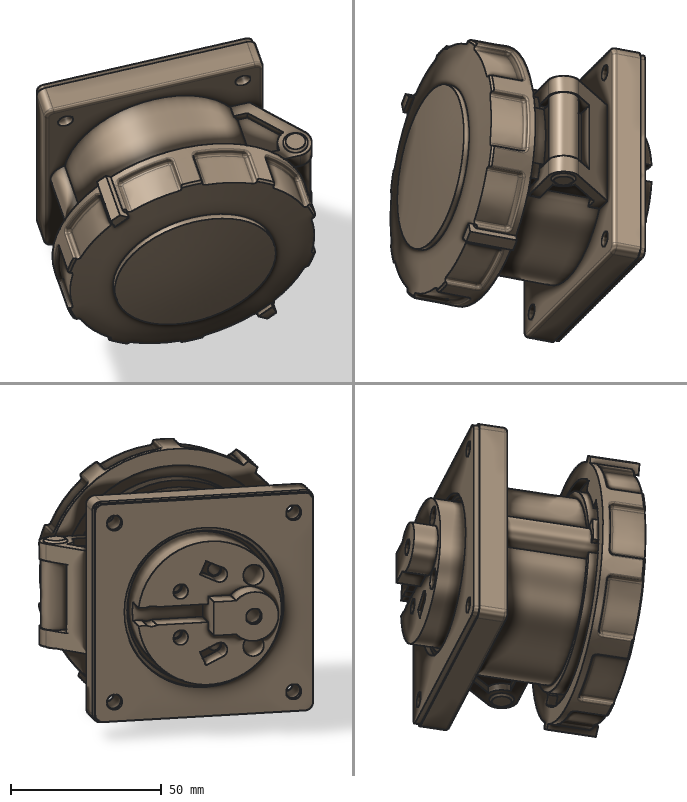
import cadquery as cq
import math


FLANGE_SIDE = 75.5
FLANGE_THICKNESS = 9.9
FLANGE_CORNER = 3.05
FLANGE_FRONT_FILLET = 1.3
SCREW_HOLE_DIA = 5.2
SCREW_PITCH = 61.2
BARREL_DIA = 62.9
COLLAR_DIA = 67.6
COLLAR_X = 28.8
BOSS_DIA = 11.7
BOSS_OUTER_Y = -35.8
STOP_OUTER_RADIUS = 37.6
STOP_BOTTOM_Z = -2.0
STOP_TOP_Z = 6.1
STOP_X = 29.2
BORE_DIA = 51.8

GASKET_THICKNESS = 1.9
GASKET_INSET = 0.65
GASKET_BORE_DIA = 54.5
REAR_X = -FLANGE_THICKNESS - GASKET_THICKNESS

RING_X = 30.9
RING_EDGE_X = 45.95
RING_BEVEL = 0.7
RING_FRONT_X = 47.8
RING_DIA = 88.0
RING_BORE_DIA = 76.7
POCKET_COUNT = 10
POCKET_ANGLE = 26.4
POCKET_DEPTH = 1.85
POCKET_X = RING_X + 2.7
POCKET_FLOOR_FILLET = 1.1
POCKET_MOUTH_FILLET = 0.65
POCKET_CORNER = 1.5
WING_ANGLE = 54.0
WING_RADIUS = 45.95
WING_TIP_WIDTH = 3.9
WING_ROOT_WIDTH = 6.1
BAYONET_RADIUS = 34.9
BAYONET_ANGLE = 35.0
BAYONET_SPAN = 24.0
COVER_REAR_X = 34.2
CAP_DIA = 55.6
CAP_EDGE_X = 49.7
DOME_X = 51.6

PIN_X = 20.25
PIN_Y = 43.0
PIN_DIA = 8.2
PIN_END_CHAMFER = 0.8
PIN_LENGTH = 36.9
LUG_RADIUS = 5.5
LUG_WIDTH = 35.2
LUG_BASE_Y = 26.3
LUG_SLOPE_Y = 32.8
RIM_WIDTH = 4.1
RIM_HEIGHT = 2.6
PIN_EYE_RADIUS = 6.0
WEB_WIDTH = LUG_WIDTH - 2 * RIM_HEIGHT
KNUCKLE_DIA = 10.0
KNUCKLE_WIDTH = 23.5
KNUCKLE_SLOT_X = 10.4
ARM_WIDTH = 20.3
ARM_INNER_RADIUS = 34.8
ARM_OUTER_RADIUS = 37.35
ARM_NECK_X = 16.2

INSERT_SHOULDER_X = -5.55
STUB_DIA = 49.0
STUB_LENGTH = 7.9
STUB_X = REAR_X - STUB_LENGTH
GRIP_LENGTH = 8.2
GRIP_DIA = 16.7
GRIP_Y = -13.1
GRIP_END_Y = 0.6
GRIP_NECK_WIDTH = 11.5
EARTH_HOLE_DIA = 5.4
EARTH_SOCKET_DIA = 5.6
EARTH_SOCKET_DEPTH = 2.3
KEYWAY_WIDTH = 6.2
KEYWAY_HOLE_DIA = 7.0
KEYWAY_HOLE_Y = 19.7
PHASE_HOLE = (9.9, 7.9)
SLOT_HOLE = (-3.5, 12.85)
SLOT_LENGTH = 6.4
SLOT_ANGLE = 25.0
CONTACT_ENTRY_DIA = 5.0
CONTACT_ENTRY_DEPTH = 8.3
CONTACT_HOLE_DIA = 4.25
PILOT_HOLE = (-15.0, 12.1)
PILOT_HOLE_DIA = 7.0


def disc(x_start, x_end, diameter, y=0, z=0):
    """Cylinder along X."""
    return cq.Workplane("YZ", origin=(x_start, y, z)).circle(diameter / 2).extrude(x_end - x_start)


def block(x_range, y_range, z_range):
    """Box between pairs of limits."""
    size = [high - low for low, high in (x_range, y_range, z_range)]
    corner = (x_range[0], y_range[0], z_range[0])
    return cq.Workplane("XY").box(*size, centered=False).translate(corner)


def hinge_cylinder(diameter, width):
    """Cylinder on the hinge axis, centred on z = 0."""
    return cq.Workplane("XY").center(PIN_X, PIN_Y).circle(diameter / 2).extrude(width / 2, both=True)


def turned(shape, angle):
    """Turn a shape about X by an angle measured from -Y towards +Z."""
    return shape.rotate((0, 0, 0), (1, 0, 0), -angle)


def centred(width):
    return (-width / 2, width / 2)


def square_plate(x_start, x_end, side, corner_radius):
    """Square plate across X with rounded corners."""
    return (
        cq.Workplane("YZ", origin=(x_start, 0, 0))
        .rect(side, side)
        .extrude(x_end - x_start)
        .edges("|X")
        .fillet(corner_radius)
    )


def screw_holes():
    return (
        cq.Workplane("YZ", origin=(REAR_X, 0, 0))
        .rect(SCREW_PITCH, SCREW_PITCH, forConstruction=True)
        .vertices()
        .circle(SCREW_HOLE_DIA / 2)
        .extrude(-REAR_X)
    )


def make_flange():
    plate = square_plate(-FLANGE_THICKNESS, 0, FLANGE_SIDE, FLANGE_CORNER)
    return plate.faces(">X").edges().fillet(FLANGE_FRONT_FILLET).cut(screw_holes())


def make_gasket():
    side = FLANGE_SIDE - 2 * GASKET_INSET
    plate = square_plate(REAR_X, -FLANGE_THICKNESS, side, FLANGE_CORNER - GASKET_INSET)
    return plate.cut(screw_holes()).cut(disc(REAR_X, -FLANGE_THICKNESS, GASKET_BORE_DIA))


def make_hinge_lugs():
    """Two hinge lugs with raised rims, and the web that carries them."""
    lug_front_x = PIN_X + LUG_RADIUS
    rise = PIN_Y - LUG_SLOPE_Y
    slope = math.atan2(rise, PIN_X) + math.asin(LUG_RADIUS / math.hypot(PIN_X, rise))
    normal = slope + math.pi / 2
    tangent_point = (PIN_X + LUG_RADIUS * math.cos(normal), PIN_Y + LUG_RADIUS * math.sin(normal))
    outline = (
        cq.Workplane("XY")
        .moveTo(0, 0)
        .lineTo(0, LUG_SLOPE_Y)
        .lineTo(*tangent_point)
        .threePointArc(
            (PIN_X + LUG_RADIUS * math.cos(normal / 2), PIN_Y + LUG_RADIUS * math.sin(normal / 2)),
            (lug_front_x, PIN_Y),
        )
        .lineTo(lug_front_x, 0)
        .close()
        .extrude(LUG_WIDTH / 2, both=True)
    )
    lugs = outline.intersect(block((0, lug_front_x), (LUG_BASE_Y, PIN_Y + LUG_RADIUS), centred(LUG_WIDTH)))

    def inner_slope_y(x):
        return LUG_SLOPE_Y + x * math.tan(slope) - RIM_WIDTH / math.cos(slope)

    eye_y = PIN_Y - PIN_EYE_RADIUS
    recess = (
        cq.Workplane("XY")
        .moveTo(RIM_WIDTH, 0)
        .lineTo(RIM_WIDTH, inner_slope_y(RIM_WIDTH))
        .lineTo(PIN_X, inner_slope_y(PIN_X))
        .lineTo(PIN_X, eye_y)
        .lineTo(lug_front_x - RIM_WIDTH, eye_y)
        .lineTo(lug_front_x - RIM_WIDTH, 0)
        .close()
        .extrude(LUG_WIDTH / 2, both=True)
        .cut(hinge_cylinder(2 * PIN_EYE_RADIUS, LUG_WIDTH))
        .cut(block((0, lug_front_x), (0, PIN_Y + LUG_RADIUS), centred(WEB_WIDTH)))
    )
    bridge = disc(lug_front_x, RING_X, 2 * ARM_OUTER_RADIUS).intersect(
        block((lug_front_x, RING_X), (0, ARM_OUTER_RADIUS), centred(WEB_WIDTH))
    )
    knuckle_slot = block(
        (KNUCKLE_SLOT_X, lug_front_x), (ARM_INNER_RADIUS, PIN_Y + LUG_RADIUS), centred(KNUCKLE_WIDTH)
    )
    arm_slot = block((lug_front_x, RING_X), (ARM_INNER_RADIUS, ARM_OUTER_RADIUS), centred(ARM_WIDTH))
    pin_hole = hinge_cylinder(PIN_DIA, LUG_WIDTH)
    return lugs.cut(recess).union(bridge).cut(knuckle_slot).cut(arm_slot).cut(pin_hole)


def make_housing():
    barrel = disc(0, COVER_REAR_X, BARREL_DIA).union(disc(COLLAR_X, COVER_REAR_X, COLLAR_DIA))
    boss = disc(0, COVER_REAR_X, BOSS_DIA, y=BOSS_OUTER_Y + BOSS_DIA / 2)
    stop = disc(STOP_X, COVER_REAR_X, 2 * STOP_OUTER_RADIUS).intersect(
        block((STOP_X, COVER_REAR_X), (-STOP_OUTER_RADIUS, 0), (STOP_BOTTOM_Z, STOP_TOP_Z))
    )
    body = make_flange().union(barrel).union(boss).union(stop).union(make_hinge_lugs())
    return body.cut(disc(-FLANGE_THICKNESS, COVER_REAR_X, BORE_DIA))


def make_insert():
    body = disc(INSERT_SHOULDER_X, COVER_REAR_X, BORE_DIA).union(disc(STUB_X, INSERT_SHOULDER_X, STUB_DIA))
    grip_x = STUB_X - GRIP_LENGTH
    grip = disc(grip_x, STUB_X, GRIP_DIA, y=GRIP_Y)
    grip_neck = block((grip_x, STUB_X), (GRIP_Y, GRIP_END_Y), centred(GRIP_NECK_WIDTH))
    body = body.union(grip).union(grip_neck)

    keyway = block((STUB_X, REAR_X), (GRIP_END_Y, STUB_DIA / 2), centred(KEYWAY_WIDTH))
    keyway = keyway.union(disc(STUB_X, REAR_X, KEYWAY_HOLE_DIA, y=KEYWAY_HOLE_Y))
    body = body.cut(keyway).cut(disc(grip_x, COVER_REAR_X, EARTH_HOLE_DIA, y=GRIP_Y))
    body = body.cut(disc(grip_x + EARTH_SOCKET_DEPTH, COVER_REAR_X, EARTH_SOCKET_DIA, y=GRIP_Y))

    entry_end_x = STUB_X + CONTACT_ENTRY_DEPTH
    for side in (1, -1):
        for y, z in (PHASE_HOLE, SLOT_HOLE):
            body = body.cut(disc(STUB_X, entry_end_x, CONTACT_ENTRY_DIA, y, side * z))
            body = body.cut(disc(entry_end_x, COVER_REAR_X, CONTACT_HOLE_DIA, y, side * z))
        slot_y, slot_z = SLOT_HOLE
        slot = block((STUB_X, entry_end_x), (0, SLOT_LENGTH), centred(CONTACT_ENTRY_DIA))
        slot = slot.rotate((0, 0, 0), (1, 0, 0), side * SLOT_ANGLE).translate((0, slot_y, side * slot_z))
        pilot_y, pilot_z = PILOT_HOLE
        pilot = disc(STUB_X, COVER_REAR_X, PILOT_HOLE_DIA, pilot_y, side * pilot_z)
        body = body.cut(slot).cut(pilot)
    return body


def ring_sector(x_start, x_end, inner_radius, outer_radius, span):
    """Part of a tube about X that is centred on -Y and spans an angle."""
    return (
        cq.Workplane("XY")
        .moveTo(x_start, -inner_radius)
        .lineTo(x_end, -inner_radius)
        .lineTo(x_end, -outer_radius)
        .lineTo(x_start, -outer_radius)
        .close()
        .revolve(span, (0, 0, 0), (1, 0, 0))
        .rotate((0, 0, 0), (1, 0, 0), -span / 2)
    )


def make_cover_body():
    """Domed cover and the plain ring around it, turned about X."""
    ring_radius = RING_DIA / 2
    cap_radius = CAP_DIA / 2
    dome_rise = DOME_X - CAP_EDGE_X
    dome_radius = (cap_radius**2 + dome_rise**2) / (2 * dome_rise)
    half_radius = cap_radius / 2
    half_x = DOME_X - dome_radius + math.sqrt(dome_radius**2 - half_radius**2)
    return (
        cq.Workplane("XY")
        .moveTo(COVER_REAR_X, 0)
        .lineTo(COVER_REAR_X, RING_BORE_DIA / 2)
        .lineTo(RING_X, RING_BORE_DIA / 2)
        .lineTo(RING_X, ring_radius)
        .lineTo(RING_EDGE_X - RING_BEVEL, ring_radius)
        .lineTo(RING_EDGE_X, ring_radius - RING_BEVEL)
        .lineTo(RING_FRONT_X, cap_radius)
        .lineTo(CAP_EDGE_X, cap_radius)
        .threePointArc((half_x, half_radius), (DOME_X, 0))
        .close()
        .revolve(360, (0, 0, 0), (1, 0, 0))
    )


def cut_pockets(body):
    """Grip pockets around the ring, rounded at the floor and at the mouth."""
    ring_radius = RING_DIA / 2
    floor_radius = ring_radius - POCKET_DEPTH
    pocket = ring_sector(POCKET_X, RING_FRONT_X, floor_radius, WING_RADIUS, POCKET_ANGLE)
    pocket = pocket.faces("<X").edges("%LINE").fillet(POCKET_CORNER)
    pocket = pocket.faces(">Y").edges("not >X").fillet(POCKET_FLOOR_FILLET)
    for i in range(POCKET_COUNT):
        body = body.cut(turned(pocket, i * 360 / POCKET_COUNT))

    def on_mouth(edge):
        start, end = edge.startPoint(), edge.endPoint()
        on_surface = all(abs(math.hypot(p.y, p.z) - ring_radius) < 0.01 for p in (start, end))
        return on_surface and RING_X + 0.1 < edge.Center().x < RING_EDGE_X - RING_BEVEL - 0.1
    return body.newObject([e for e in body.edges().vals() if on_mouth(e)]).fillet(POCKET_MOUTH_FILLET)


def make_hinge_arm():
    """Arm from the cover to the hinge knuckle, with a trunnion at each end of the knuckle."""
    arm = disc(PIN_X, COVER_REAR_X, 2 * ARM_OUTER_RADIUS).intersect(
        block((PIN_X, COVER_REAR_X), (ARM_INNER_RADIUS, ARM_OUTER_RADIUS), centred(ARM_WIDTH))
    )
    neck = block((ARM_NECK_X, 2 * PIN_X - ARM_NECK_X), (ARM_INNER_RADIUS, PIN_Y), centred(ARM_WIDTH))
    knuckle = hinge_cylinder(KNUCKLE_DIA, KNUCKLE_WIDTH)
    trunnions = hinge_cylinder(PIN_DIA, PIN_LENGTH).faces("<Z or >Z").chamfer(PIN_END_CHAMFER)
    return arm.union(neck).union(knuckle).union(trunnions)


def make_cover():
    wing = (
        cq.Workplane("YZ", origin=(RING_X, 0, 0))
        .moveTo(-WING_RADIUS, WING_TIP_WIDTH / 2)
        .lineTo(-RING_DIA / 2 + POCKET_DEPTH, WING_ROOT_WIDTH / 2)
        .lineTo(-RING_DIA / 2 + POCKET_DEPTH, -WING_ROOT_WIDTH / 2)
        .lineTo(-WING_RADIUS, -WING_TIP_WIDTH / 2)
        .close()
        .extrude(RING_FRONT_X - RING_X)
    )
    bayonet = ring_sector(RING_X, COVER_REAR_X, BAYONET_RADIUS, RING_BORE_DIA / 2, BAYONET_SPAN)
    body = cut_pockets(make_cover_body()).union(make_hinge_arm())
    for half_turn in (0, 180):
        body = body.union(turned(wing, WING_ANGLE + half_turn))
        body = body.union(turned(bayonet, BAYONET_ANGLE + half_turn))
    return body


housing = make_housing()
gasket = make_gasket()
insert = make_insert()
cover = make_cover()

result = cq.Compound.makeCompound([housing.val(), gasket.val(), insert.val(), cover.val()])